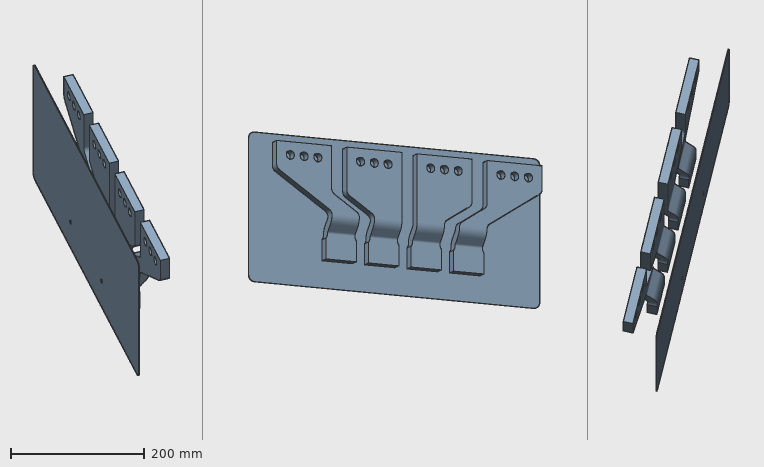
import math

import cadquery as cq

panel_width = 480.0
panel_height = 230.0
panel_thickness = 1.5
panel_corner_radius = 10.0
panel_hole_diameter = 6.0
panel_hole_spacing = 140.0
panel_hole_z = -63.5

bar_thickness = 15.0
bar_back_y = 56.5
bar_edge_radius = 10.0
pad_width = 90.5
pad_pitch = 115.5
pad_top_z = 92.0
neck_width = 45.0
foot_width = 50.0
foot_pitch = 70.0
foot_bottom_z = -78.5

slope_bottom_z = -8.5
slope_angle_from_vertical = math.radians(57)

bend_top_z = -14.0
bend_angle = math.radians(45)
bend_inner_radius = 4.5
bend_outer_radius = bend_inner_radius + bar_thickness
foot_offset = 16.5

pad_hole_count = 3
pad_hole_diameter = 13.0
pad_hole_depth_below_top = 20.0
pad_hole_pitch = pad_width / (pad_hole_count + 1)

inner_setback = bend_inner_radius * math.tan(bend_angle / 2)
outer_setback = bend_outer_radius * math.tan(bend_angle / 2)
bend_bottom_z = bend_top_z - foot_offset / math.tan(bend_angle) - inner_setback - outer_setback

pad_front_y = bar_back_y - bar_thickness
foot_back_y = bar_back_y - foot_offset
foot_front_y = pad_front_y - foot_offset

shoulder_ledge = (foot_width - neck_width) / 2
shoulder_angle = math.acos(1 - shoulder_ledge / bar_edge_radius)


def make_panel():
    """Rounded sheet with two screw holes."""
    sheet = (
        cq.Workplane("XZ")
        .rect(panel_width, panel_height)
        .extrude(-panel_thickness)
        .edges("|Y")
        .fillet(panel_corner_radius)
    )
    holes = (
        cq.Workplane("XZ")
        .pushPoints([(side * panel_hole_spacing / 2, panel_hole_z) for side in (-1, 1)])
        .circle(panel_hole_diameter / 2)
        .extrude(-panel_thickness)
    )
    return sheet.cut(holes)


def fillet_edges_near(blank, axis, points, radius):
    """Round the edges parallel to the axis that pass nearest to the given points."""
    for point in points:
        nearest = cq.selectors.NearestToPointSelector(point)
        blank = blank.edges("|" + axis).edges(nearest).fillet(radius)
    return blank


def make_bent_strip(left_x, right_x):
    """Full-width strip of bar stock, bent forward and back again between pad and foot."""
    pad_inner_corner = (pad_front_y, bend_top_z - inner_setback)
    pad_outer_corner = (bar_back_y, bend_top_z - outer_setback)
    foot_inner_corner = (foot_back_y, bend_bottom_z + inner_setback)
    foot_outer_corner = (foot_front_y, bend_bottom_z + outer_setback)
    strip = (
        cq.Workplane("YZ", origin=(left_x, 0, 0))
        .polyline(
            [
                (pad_front_y, pad_top_z),
                (bar_back_y, pad_top_z),
                pad_outer_corner,
                foot_inner_corner,
                (foot_back_y, foot_bottom_z),
                (foot_front_y, foot_bottom_z),
                foot_outer_corner,
                pad_inner_corner,
            ]
        )
        .close()
        .extrude(right_x - left_x)
    )
    middle_x = (left_x + right_x) / 2
    inner_points = [(middle_x, y, z) for y, z in (pad_inner_corner, foot_inner_corner)]
    outer_points = [(middle_x, y, z) for y, z in (pad_outer_corner, foot_outer_corner)]
    strip = fillet_edges_near(strip, "X", inner_points, bend_inner_radius)
    return fillet_edges_near(strip, "X", outer_points, bend_outer_radius)


def shoulder_point(neck_x, side, angle):
    """Point on the shoulder arc, at an angle below the end of the neck; side is -1 left, 1 right."""
    x = neck_x + side * bar_edge_radius * (1 - math.cos(angle))
    z = bend_bottom_z - bar_edge_radius * math.sin(angle)
    return x, z


def make_bar_outline(pad_x, foot_x):
    """Front outline of a left-hand bar, run through the whole depth of the bend."""
    pad_left = pad_x - pad_width / 2
    pad_right = pad_x + pad_width / 2
    neck_left = foot_x - neck_width / 2
    neck_right = foot_x + neck_width / 2

    left_rise = (neck_left - pad_left) / math.tan(slope_angle_from_vertical)
    right_rise = (neck_right - pad_right) / math.tan(slope_angle_from_vertical)
    left_slope = [(neck_left, slope_bottom_z), (pad_left, slope_bottom_z + left_rise)]
    right_slope = [(pad_right, slope_bottom_z + right_rise), (neck_right, slope_bottom_z)]
    if math.isclose(pad_right, neck_right):
        right_slope = []

    upper_outline = (
        [(neck_left, bend_bottom_z)]
        + left_slope
        + [(pad_left, pad_top_z), (pad_right, pad_top_z)]
        + right_slope
        + [(neck_right, bend_bottom_z)]
    )
    outline = (
        cq.Workplane("XZ", origin=(0, foot_front_y, 0))
        .moveTo(foot_x + foot_width / 2, foot_bottom_z)
        .lineTo(foot_x - foot_width / 2, foot_bottom_z)
        .lineTo(*shoulder_point(neck_left, -1, shoulder_angle))
        .threePointArc(shoulder_point(neck_left, -1, shoulder_angle / 2), upper_outline[0])
    )
    for corner in upper_outline[1:]:
        outline = outline.lineTo(*corner)
    blank = (
        outline.threePointArc(
            shoulder_point(neck_right, 1, shoulder_angle / 2),
            shoulder_point(neck_right, 1, shoulder_angle),
        )
        .close()
        .extrude(foot_front_y - bar_back_y)
    )
    middle_y = (foot_front_y + bar_back_y) / 2
    slope_corners = [(x, middle_y, z) for x, z in left_slope + right_slope]
    return fillet_edges_near(blank, "Y", slope_corners, bar_edge_radius)


def make_pad_holes(pad_x):
    """Row of through holes near the top of a pad."""
    return (
        cq.Workplane("XZ", origin=(pad_x, pad_front_y, pad_top_z - pad_hole_depth_below_top))
        .rarray(pad_hole_pitch, 5, pad_hole_count, 1)
        .circle(pad_hole_diameter / 2)
        .extrude(-bar_thickness)
    )


def make_left_bar(pitches_from_centre):
    """One left-hand bar, whose pad and foot lie the same number of pitches from X = 0."""
    pad_x = -pitches_from_centre * pad_pitch
    foot_x = -pitches_from_centre * foot_pitch
    strip = make_bent_strip(pad_x - pad_width / 2, foot_x + foot_width / 2)
    return strip.intersect(make_bar_outline(pad_x, foot_x)).cut(make_pad_holes(pad_x))


panel = make_panel()

bars = []
for pitches_from_centre in (0.5, 1.5):
    left_bar = make_left_bar(pitches_from_centre)
    right_bar = left_bar.mirror("YZ")
    bars += [*left_bar.solids().vals(), *right_bar.solids().vals()]

result = cq.Compound.makeCompound([panel.val(), *bars])